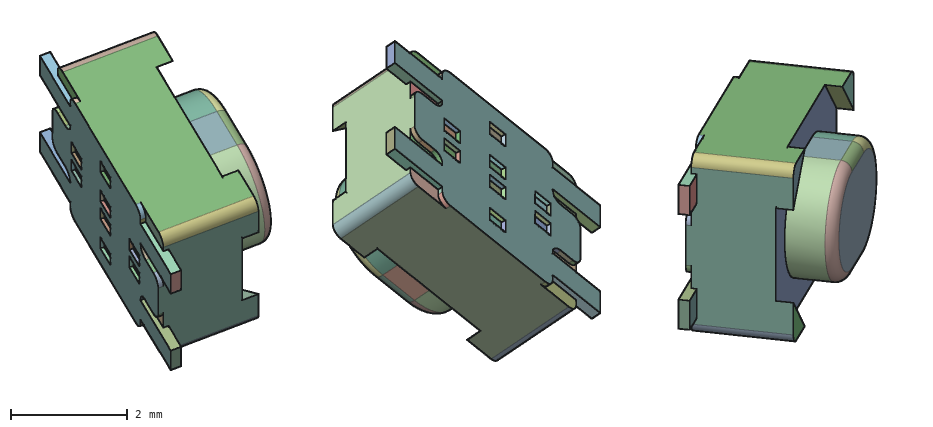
import cadquery as cq

total_length = 5.2
body_length = 4.2
body_height = 3.35
body_back = 1.905
total_depth = 2.5
corner_radius = 0.2

plate_thickness = 0.1
plate_length = 2.8
tab_height = 1.155

terminal_height = 0.55
terminal_thickness = 2 * plate_thickness
terminal_z = 1.08

recess_floor = 1.595
post_leg = 0.8

button_length = 3.0
button_height = 2.2
button_edge_radius = 0.2

pocket_length = 0.4
pocket_height = 0.3
pocket_depth = 0.05
pocket_taper = 45.0
inner_pocket_z = 0.25
side_pocket_x = 1.15


def block(length, height, y_start, y_end):
    """Box centred on the Y axis, from y_start to y_end."""
    depth = y_end - y_start
    return cq.Workplane("XY").box(length, depth, height).translate((0, y_start + depth / 2, 0))


def make_body():
    """Rounded block with an octagonal recess that opens through all four sides."""
    body = block(body_length, body_height, plate_thickness, body_back).edges("|Y").fillet(corner_radius)
    recess = block(body_length, body_height, recess_floor, body_back).edges("|Y").chamfer(post_leg)
    return body.cut(recess)


def make_plate():
    """Plus-shaped plate with every outer and inner corner rounded."""
    upright = block(plate_length, body_height, 0, plate_thickness)
    tabs = block(body_length, tab_height, 0, plate_thickness)
    return upright.union(tabs).edges("|Y").fillet(corner_radius)


def make_terminals():
    bar = block(total_length, terminal_height, 0, terminal_thickness)
    return bar.translate((0, 0, terminal_z)).union(bar.translate((0, 0, -terminal_z)))


def make_button():
    button = (
        cq.Workplane("XZ", origin=(0, recess_floor, 0))
        .slot2D(button_length, button_height)
        .extrude(recess_floor - total_depth)
    )
    return button.faces(">Y").edges().fillet(button_edge_radius)


def make_pockets():
    centers = [(0, terminal_z), (0, -terminal_z)]
    for x in (-side_pocket_x, 0, side_pocket_x):
        for z in (-inner_pocket_z, inner_pocket_z):
            centers.append((x, z))
    return (
        cq.Workplane("XZ")
        .pushPoints(centers)
        .rect(pocket_length, pocket_height)
        .extrude(-pocket_depth, taper=pocket_taper)
    )


result = (
    make_body()
    .union(make_plate())
    .union(make_terminals())
    .union(make_button())
    .cut(make_pockets())
)